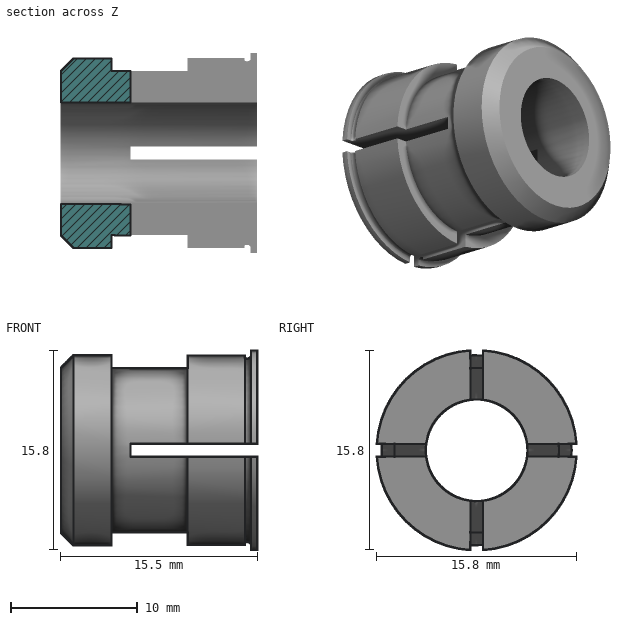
import cadquery as cq
import math

length = 15.5
head_end = 4.0
slot_start = 5.5
neck_end = 10.0
groove_start = 14.51
lip_thickness = 0.5
lip_start = length - lip_thickness

slot_width = 1.0
lip_span = 15.77
lip_radius = math.hypot(lip_span / 2, slot_width / 2)
body_radius = 7.5
neck_radius = 6.5
bore_radius = 4.0
head_chamfer = 1.0
groove_collar_radius = 7.32
groove_lip_radius = 7.43
groove_curvature = 0.33


def turned_body():
    """Revolve the stepped half profile about the X axis."""
    profile = (
        cq.Workplane("XY")
        .moveTo(0, bore_radius)
        .lineTo(0, body_radius - head_chamfer)
        .lineTo(head_chamfer, body_radius)
        .lineTo(head_end, body_radius)
        .lineTo(head_end, neck_radius)
        .lineTo(neck_end, neck_radius)
        .lineTo(neck_end, body_radius)
        .lineTo(groove_start, body_radius)
        .lineTo(groove_start, groove_collar_radius)
        .radiusArc((lip_start, groove_lip_radius), -groove_curvature)
        .lineTo(lip_start, lip_radius)
        .lineTo(length, lip_radius)
        .lineTo(length, bore_radius)
        .close()
    )
    return profile.revolve(360, (0, 0, 0), (1, 0, 0))


def cross_slots():
    """Two slots at right angles, open at the lip end, splitting it into four fingers."""
    slot_length = length - slot_start
    slot = cq.Workplane("XY").box(
        slot_length, 2 * lip_radius, slot_width, centered=(False, True, True)
    ).translate((slot_start, 0, 0))
    return slot.union(slot.rotate((0, 0, 0), (1, 0, 0), 90))


result = turned_body().cut(cross_slots())